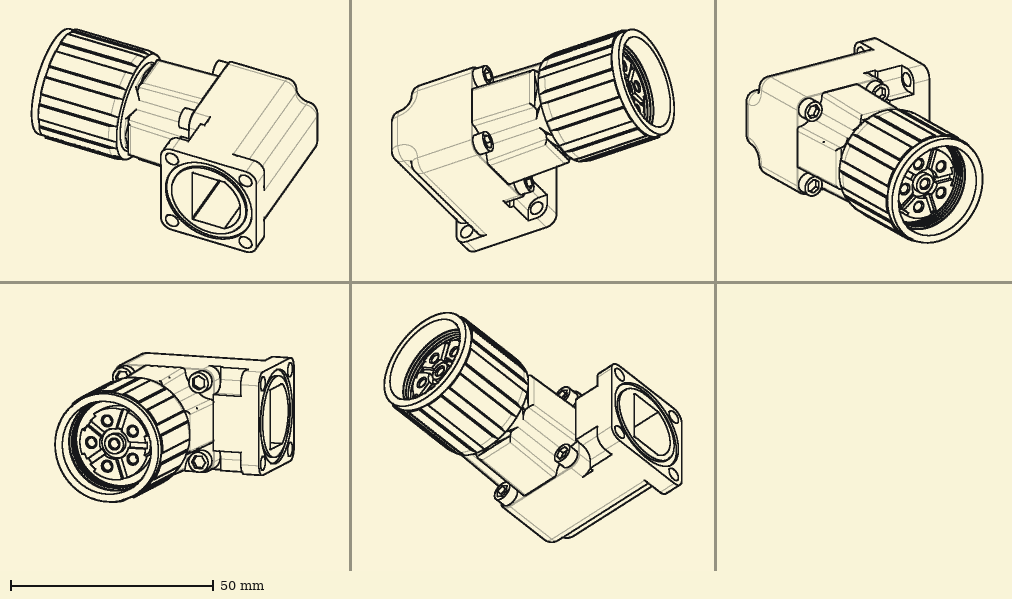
import cadquery as cq
import math


OVERALL_DEPTH = 39.4

NUT_LENGTH = 23.1
NUT_RADIUS = 14.0
COLLAR_RADIUS = 13.6
COLLAR_LENGTH = 2.0
NUT_TAPER_START = 21.05
GRIP_COUNT = 12
GRIP_FLOOR_RADIUS = 13.65
GRIP_FLOOR_WIDTH = 2.5
GRIP_FLARE = 0.4
GRIP_FIRST_ANGLE = 20.7
MOUTH_RADIUS = 11.65
MOUTH_DEPTH = 4.8
THREAD_ROOT_RADIUS = 11.45
THREAD_CREST_RADIUS = 11.05
THREAD_PITCH = 0.85
THREAD_TURNS = 5
THREAD_END = MOUTH_DEPTH + THREAD_PITCH * THREAD_TURNS

INSERT_FRONT = 5.45
INSERT_BACK = NUT_LENGTH
INSERT_RADIUS = 9.0
KEYWAY_FLOOR_RADIUS = 8.25
KEYWAY_ANGLES = (0, 143, 217)
KEYWAY_SPAN = 33
CONTACT_COUNT = 5
CONTACT_SPACING = 360 / CONTACT_COUNT
CONTACT_CIRCLE_RADIUS = 6.0
CONTACT_MOUTH_RADIUS = 1.45
CONTACT_BORE_RADIUS = 1.1
CONTACT_DEPTH = 5.3
SPOKE_WIDTH = 1.5
SPOKE_DEPTH = 1.1
HUB_DEPTH = 1.65
HUB_RADIUS = 3.8
CENTRE_BOSS_RADIUS = 2.45

ELBOW_FRONT = 42.4
ELBOW_END = 66.6
ELBOW_HALF = 13.0
CORNER_RADIUS = 2.9
PLATE_BACK = 47.0
PLATE_EDGE_ROUND = 0.2
SLOT_WIDTH = 0.5
FLANGE_FRONT = 40.6
FLANGE_CENTRE_X = (FLANGE_FRONT + ELBOW_END) / 2
FLANGE_FACE_Y = NUT_RADIUS - OVERALL_DEPTH
FLANGE_THICKNESS = 4.7
FLANGE_BACK_Y = FLANGE_FACE_Y + FLANGE_THICKNESS
FLANGE_HOLE_SPACING = 20.0
FLANGE_HOLE_RADIUS = 1.7
HOLLOW_WALL_X = 60.95
PLATE_CORNER_RADIUS = 2.85
WEB_RELIEF_BACK = 45.95
WEB_RELIEF_FLOOR = 7.05
SEAL_OUTER_RADIUS = 11.7
SEAL_INNER_RADIUS = 10.1
SEAL_DEPTH = 0.65
WINDOW_RADIUS = 8.65
WINDOW_HALF_HEIGHT = 7.5
WINDOW_SIDE_OFFSET = 4.5
WINDOW_DEPTH = 33.3

NECK_RADIUS = 11.4
PAD_FRONT = 24.25
PAD_WALL = 25.4
PAD_FULL = 26.4
PAD_FRONT_HEIGHT = 12.45
PAD_BACK_HEIGHT = 13.0
PAD_FLAT_HALF = 4.6
PAD_EDGE_ROUND = 0.9
PAD_FOOT_ANGLE = 39
PAD_FOOT_Y = NECK_RADIUS * math.sin(math.radians(PAD_FOOT_ANGLE))
PAD_FOOT_Z = NECK_RADIUS * math.cos(math.radians(PAD_FOOT_ANGLE))

SCREW_OFFSET = 10.0
SCREW_HEAD_RADIUS = 2.5
SCREW_HEAD_HEIGHT = 2.85
HEX_ACROSS_FLATS = 3.05
HEX_DEPTH = 1.3

HALFWAY = math.sqrt(0.5)


def along_x(x):
    """Sketch plane across the X axis: local x is Y, local y is Z."""
    return cq.Workplane("YZ", origin=(x, 0, 0))


def along_minus_y(y, x=0):
    """Sketch plane that extrudes toward -Y: local x is X, local y is Z."""
    return cq.Workplane("XZ", origin=(x, y, 0))


def rod(x_start, x_end, radius):
    return along_x(x_start).circle(radius).extrude(x_end - x_start)


def revolve_about_x(points):
    """Turn a closed (x, radius) profile about the X axis."""
    return cq.Workplane("XY").polyline(points).close().revolve(360, (0, 0, 0), (1, 0, 0))


def turned(shape, angle):
    """Turn a shape about the mating axis; a feature at -Y moves toward -Z."""
    return shape.rotate((0, 0, 0), (1, 0, 0), angle)



def grip_groove():
    """Flared lengthwise groove on the -Y side of the nut."""
    floor_half = GRIP_FLOOR_WIDTH / 2
    rim_half = floor_half + GRIP_FLARE
    wedge = (
        along_x(COLLAR_LENGTH)
        .polyline([
            (0, -floor_half),
            (-GRIP_FLOOR_RADIUS, -floor_half),
            (-NUT_RADIUS, -rim_half),
            (-2 * NUT_RADIUS, -rim_half),
            (-2 * NUT_RADIUS, rim_half),
            (-NUT_RADIUS, rim_half),
            (-GRIP_FLOOR_RADIUS, floor_half),
            (0, floor_half),
        ])
        .close()
        .extrude(NUT_LENGTH - COLLAR_LENGTH)
    )
    return wedge.cut(rod(COLLAR_LENGTH, NUT_LENGTH, GRIP_FLOOR_RADIUS))


def coupling_nut():
    outside = [
        (0, MOUTH_RADIUS),
        (0, COLLAR_RADIUS),
        (COLLAR_LENGTH, COLLAR_RADIUS),
        (COLLAR_LENGTH, NUT_RADIUS),
        (NUT_TAPER_START, NUT_RADIUS),
        (NUT_LENGTH, COLLAR_RADIUS),
        (NUT_LENGTH, NECK_RADIUS),
        (THREAD_END, NECK_RADIUS),
    ]
    thread = []
    for turn in reversed(range(THREAD_TURNS)):
        tooth_start = MOUTH_DEPTH + turn * THREAD_PITCH
        thread.append((tooth_start + THREAD_PITCH / 2, THREAD_CREST_RADIUS))
        thread.append((tooth_start, THREAD_ROOT_RADIUS))
    nut = revolve_about_x(outside + thread + [(MOUTH_DEPTH, MOUTH_RADIUS)])

    for index in range(GRIP_COUNT):
        nut = nut.cut(turned(grip_groove(), index * 360 / GRIP_COUNT - GRIP_FIRST_ANGLE))
    return nut



def keyed_rod(x_start, x_end):
    """Round rod with three lengthwise keyways in its rim."""
    body = rod(x_start, x_end, INSERT_RADIUS)
    half_span = math.radians(KEYWAY_SPAN / 2)
    reach = 2 * INSERT_RADIUS
    sector = (
        along_x(x_start)
        .polyline([
            (0, 0),
            (-reach * math.cos(half_span), -reach * math.sin(half_span)),
            (-reach * math.cos(half_span), reach * math.sin(half_span)),
        ])
        .close()
        .extrude(x_end - x_start)
    )
    keyway = sector.cut(rod(x_start, x_end, KEYWAY_FLOOR_RADIUS))
    for angle in KEYWAY_ANGLES:
        body = body.cut(turned(keyway, angle))
    return body


def spoke_recess():
    """Recessed hub and spokes that separate the contacts, around a raised centre boss."""
    floor = INSERT_FRONT + HUB_DEPTH
    recess = rod(INSERT_FRONT, floor, HUB_RADIUS)
    spoke = (
        along_x(INSERT_FRONT)
        .center(-INSERT_RADIUS / 2, 0)
        .rect(INSERT_RADIUS, SPOKE_WIDTH)
        .extrude(SPOKE_DEPTH)
    )
    for index in range(CONTACT_COUNT):
        recess = recess.union(turned(spoke, index * CONTACT_SPACING))
    return recess.cut(rod(INSERT_FRONT, floor, CENTRE_BOSS_RADIUS))


def contact_socket():
    """Countersunk contact bore on the mating axis."""
    bore_start = INSERT_FRONT + CONTACT_MOUTH_RADIUS - CONTACT_BORE_RADIUS
    bore_end = INSERT_FRONT + CONTACT_DEPTH
    return revolve_about_x([
        (INSERT_FRONT, 0),
        (INSERT_FRONT, CONTACT_MOUTH_RADIUS),
        (bore_start, CONTACT_BORE_RADIUS),
        (bore_end, CONTACT_BORE_RADIUS),
        (bore_end, 0),
    ])


def contact_insert():
    insert = keyed_rod(INSERT_FRONT, INSERT_BACK).cut(spoke_recess())
    insert = insert.cut(contact_socket())
    outer_socket = contact_socket().translate((0, -CONTACT_CIRCLE_RADIUS, 0))
    for index in range(CONTACT_COUNT):
        insert = insert.cut(turned(outer_socket, (index + 0.5) * CONTACT_SPACING))
    return insert



def pad_section(x, height):
    """Wire across the pad: flat top, rounded edges and hollow flanks down to the neck."""
    edge_y = PAD_FLAT_HALF + PAD_EDGE_ROUND
    edge_z = height - PAD_EDGE_ROUND
    round_y = PAD_FLAT_HALF + PAD_EDGE_ROUND * HALFWAY
    round_z = edge_z + PAD_EDGE_ROUND * HALFWAY
    rise = edge_z - PAD_FOOT_Z
    run = PAD_FOOT_Y - edge_y
    turn = math.atan2(rise, run) - math.radians(PAD_FOOT_ANGLE)
    bulge = math.tan(turn / 2) / 2
    flank_y = (edge_y + PAD_FOOT_Y) / 2 - bulge * rise
    flank_z = (edge_z + PAD_FOOT_Z) / 2 - bulge * run
    return (
        along_x(x)
        .moveTo(-PAD_FLAT_HALF, height)
        .lineTo(PAD_FLAT_HALF, height)
        .threePointArc((round_y, round_z), (edge_y, edge_z))
        .threePointArc((flank_y, flank_z), (PAD_FOOT_Y, PAD_FOOT_Z))
        .lineTo(0, 0)
        .lineTo(-PAD_FOOT_Y, PAD_FOOT_Z)
        .threePointArc((-flank_y, flank_z), (-edge_y, edge_z))
        .threePointArc((-round_y, round_z), (-PAD_FLAT_HALF, height))
        .close()
        .val()
    )


def pad_front_round():
    """Space kept under the rounded front edge of the pad, seen along Y."""
    round_radius = PAD_FULL - PAD_WALL
    round_z = PAD_FRONT_HEIGHT - round_radius
    return (
        along_minus_y(PAD_FOOT_Y)
        .moveTo(PAD_FRONT, 0)
        .lineTo(PAD_FRONT, round_z)
        .lineTo(PAD_WALL, round_z)
        .threePointArc(
            (PAD_FULL - round_radius * HALFWAY, round_z + round_radius * HALFWAY),
            (PAD_FULL, PAD_FRONT_HEIGHT),
        )
        .lineTo(ELBOW_FRONT, PAD_BACK_HEIGHT)
        .lineTo(ELBOW_FRONT, 0)
        .close()
        .extrude(2 * PAD_FOOT_Y)
    )


def pad_front_fillet():
    """Space kept behind the hollow that runs from the neck up to the pad's front wall."""
    hollow_radius = PAD_WALL - PAD_FRONT
    reach = 2 * NECK_RADIUS
    return (
        cq.Workplane("XY")
        .moveTo(PAD_FRONT, 0)
        .lineTo(PAD_FRONT, NECK_RADIUS)
        .threePointArc(
            (PAD_FRONT + hollow_radius * HALFWAY, NECK_RADIUS + hollow_radius * (1 - HALFWAY)),
            (PAD_WALL, NECK_RADIUS + hollow_radius),
        )
        .lineTo(PAD_WALL, reach)
        .lineTo(ELBOW_FRONT, reach)
        .lineTo(ELBOW_FRONT, 0)
        .close()
        .revolve(360, (0, 0, 0), (1, 0, 0))
    )


def pad_plan():
    """Outline of the pad from above, with its two front corners cut off."""
    return (
        cq.Workplane("XY")
        .polyline([
            (PAD_FRONT, -PAD_FLAT_HALF),
            (PAD_FULL, -PAD_FOOT_Y),
            (ELBOW_FRONT, -PAD_FOOT_Y),
            (ELBOW_FRONT, PAD_FOOT_Y),
            (PAD_FULL, PAD_FOOT_Y),
            (PAD_FRONT, PAD_FLAT_HALF),
        ])
        .close()
        .extrude(2 * NECK_RADIUS)
    )


def pad():
    """Raised pad on the +Z side of the neck, rising slightly toward the elbow."""
    slope = (PAD_BACK_HEIGHT - PAD_FRONT_HEIGHT) / (ELBOW_FRONT - PAD_FULL)
    first_height = PAD_FRONT_HEIGHT - slope * (PAD_FULL - PAD_FRONT)
    sections = [pad_section(PAD_FRONT, first_height), pad_section(ELBOW_FRONT, PAD_BACK_HEIGHT)]
    bar = cq.Workplane(cq.Solid.makeLoft(sections, True))
    return bar.intersect(pad_front_round()).intersect(pad_front_fillet()).intersect(pad_plan())


def neck():
    body = rod(THREAD_END, ELBOW_FRONT, NECK_RADIUS)
    for quarter in range(4):
        body = body.union(turned(pad(), 90 * quarter))
    return body.cut(keyed_rod(THREAD_END, INSERT_BACK))


def screw_plate():
    """Square rounded plate that carries the four screws."""
    return (
        along_x(ELBOW_FRONT)
        .rect(2 * ELBOW_HALF, 2 * ELBOW_HALF)
        .extrude(PLATE_BACK - ELBOW_FRONT)
        .edges("|X")
        .fillet(PLATE_CORNER_RADIUS)
        .faces("<X")
        .edges()
        .fillet(PLATE_EDGE_ROUND)
    )


def arm():
    """Arm along Y whose +X corners step inward to clear the flange screws."""
    outer = CORNER_RADIUS
    shoulder_z = ELBOW_HALF - outer
    hollow_x = ELBOW_END - outer
    hollow = hollow_x - HOLLOW_WALL_X
    floor_z = shoulder_z - hollow
    upper_half = (
        along_minus_y(ELBOW_HALF)
        .moveTo(PLATE_BACK, 0)
        .lineTo(PLATE_BACK, ELBOW_HALF)
        .lineTo(HOLLOW_WALL_X - outer, ELBOW_HALF)
        .threePointArc(
            (HOLLOW_WALL_X - outer * (1 - HALFWAY), shoulder_z + outer * HALFWAY),
            (HOLLOW_WALL_X, shoulder_z),
        )
        .threePointArc(
            (hollow_x - hollow * HALFWAY, shoulder_z - hollow * HALFWAY),
            (hollow_x, floor_z),
        )
        .threePointArc(
            (hollow_x + outer * HALFWAY, floor_z - outer * (1 - HALFWAY)),
            (ELBOW_END, floor_z - outer),
        )
        .lineTo(ELBOW_END, 0)
        .close()
        .extrude(ELBOW_HALF - FLANGE_BACK_Y)
    )
    whole = upper_half.union(upper_half.mirror("XY"))
    return whole.faces(">Y").edges("not(<X)").fillet(PLATE_CORNER_RADIUS)


def web_relief(side):
    """Pocket behind a flange hole on the +Z (side = 1) or -Z (side = -1) face of the web."""
    radius = CORNER_RADIUS
    start_x = WEB_RELIEF_BACK - radius
    return (
        along_minus_y(-ELBOW_HALF - SLOT_WIDTH)
        .moveTo(FLANGE_FRONT, side * WEB_RELIEF_FLOOR)
        .lineTo(start_x, side * WEB_RELIEF_FLOOR)
        .threePointArc(
            (start_x + radius * HALFWAY, side * (WEB_RELIEF_FLOOR + radius * (1 - HALFWAY))),
            (WEB_RELIEF_BACK, side * (WEB_RELIEF_FLOOR + radius)),
        )
        .lineTo(WEB_RELIEF_BACK, side * ELBOW_HALF)
        .lineTo(FLANGE_FRONT, side * ELBOW_HALF)
        .close()
        .extrude(-ELBOW_HALF - SLOT_WIDTH - FLANGE_BACK_Y)
    )


def web():
    """Block that fills out the arm to the front of the flange, below the slot."""
    length_x = PLATE_BACK - FLANGE_FRONT
    block = (
        along_minus_y(-ELBOW_HALF - SLOT_WIDTH, FLANGE_FRONT + length_x / 2)
        .rect(length_x, 2 * ELBOW_HALF)
        .extrude(-ELBOW_HALF - SLOT_WIDTH - FLANGE_BACK_Y)
    )
    return block.cut(web_relief(1)).cut(web_relief(-1))


def flange():
    return (
        along_minus_y(FLANGE_BACK_Y, FLANGE_CENTRE_X)
        .rect(ELBOW_END - FLANGE_FRONT, 2 * ELBOW_HALF)
        .extrude(FLANGE_THICKNESS)
        .edges("|Y")
        .fillet(CORNER_RADIUS)
    )


def flange_cuts():
    """Screw holes, seal groove and D-shaped cable window in the flange face."""
    face = along_minus_y(FLANGE_FACE_Y, FLANGE_CENTRE_X)
    holes = (
        face.rect(FLANGE_HOLE_SPACING, FLANGE_HOLE_SPACING, forConstruction=True)
        .vertices()
        .circle(FLANGE_HOLE_RADIUS)
        .extrude(-FLANGE_THICKNESS)
    )
    seal_groove = face.circle(SEAL_OUTER_RADIUS).circle(SEAL_INNER_RADIUS).extrude(-SEAL_DEPTH)
    window_length = WINDOW_RADIUS + WINDOW_SIDE_OFFSET
    window = (
        face.center(window_length / 2 - WINDOW_SIDE_OFFSET, 0)
        .rect(window_length, 2 * WINDOW_HALF_HEIGHT)
        .extrude(-WINDOW_DEPTH)
        .intersect(face.circle(WINDOW_RADIUS).extrude(-WINDOW_DEPTH))
    )
    return [holes, seal_groove, window]


def screw_head():
    """Socket screw head in the +Y, +Z corner of the screw plate."""
    front_x = ELBOW_FRONT - SCREW_HEAD_HEIGHT
    hex_diameter = HEX_ACROSS_FLATS / math.cos(math.pi / 6)
    hex_socket = along_x(front_x).polygon(6, hex_diameter).extrude(HEX_DEPTH)
    head = rod(front_x, ELBOW_FRONT, SCREW_HEAD_RADIUS).cut(hex_socket)
    return head.translate((0, SCREW_OFFSET, SCREW_OFFSET))


def housing():
    body = neck().union(screw_plate()).union(arm()).union(web()).union(flange())
    for cut in flange_cuts():
        body = body.cut(cut)
    for quarter in range(4):
        body = body.union(turned(screw_head(), 90 * quarter))
    return body


result = cq.Compound.makeCompound([
    coupling_nut().val(),
    contact_insert().val(),
    housing().val(),
])